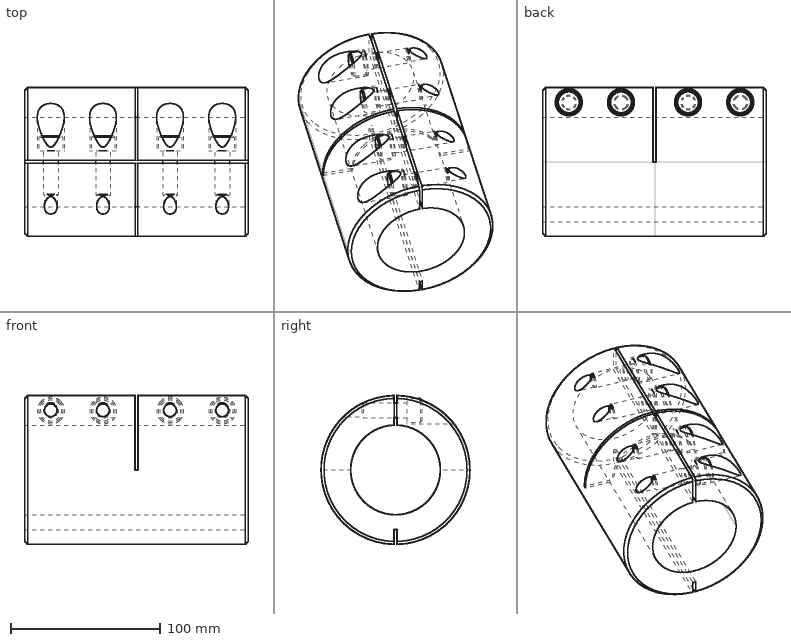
import cadquery as cq

length = 150.0
outer_diameter = 100.0
bore_diameter = 60.0
end_chamfer = 2.0

outer_radius = outer_diameter / 2
bore_radius = bore_diameter / 2

slit_width = 2.0
relief_slit_depth = 10.0

screw_height = 40.0
screw_pitch = 35.0
inner_screw_offset = 22.5
outer_screw_offset = inner_screw_offset + screw_pitch
screw_positions = [-outer_screw_offset, -inner_screw_offset, inner_screw_offset, outer_screw_offset]

shank_diameter = 10.0
shank_length = 30.0
drill_diameter = 8.5
tip_chamfer = (shank_diameter - drill_diameter) / 2
head_diameter = 16.0
head_length = shank_diameter
head_chamfer = 1.0

seat_y = 7.5
counterbore_diameter = 18.0


def cylinder_along_y(x, start_y, end_y, diameter):
    """Cylinder on a screw axis, running from start_y towards +Y up to end_y."""
    base = cq.Plane(origin=(x, start_y, screw_height), xDir=(1, 0, 0), normal=(0, 1, 0))
    return cq.Workplane(base).circle(diameter / 2).extrude(end_y - start_y)


def make_sleeve():
    """Chamfered tube before any cut."""
    sleeve = cq.Workplane("YZ").circle(outer_radius).extrude(length / 2, both=True)
    sleeve = sleeve.faces("<X or >X").chamfer(end_chamfer)
    bore = cq.Workplane("YZ").circle(bore_radius).extrude(length / 2, both=True)
    return sleeve.cut(bore)


def make_slits():
    """Full slit through the top wall, relief slit below, and half-depth cross slit at mid length."""
    upper_box = (True, True, False)
    top_slit = cq.Workplane("XY").box(length, slit_width, outer_radius, centered=upper_box)
    relief_slit = (
        cq.Workplane("XY", origin=(0, 0, -outer_radius))
        .box(length, slit_width, relief_slit_depth, centered=upper_box)
    )
    cross_slit = cq.Workplane("XY").box(
        slit_width, outer_diameter, outer_radius, centered=upper_box
    )
    return [top_slit, relief_slit, cross_slit]


def make_shank(x):
    """Screw shank with its tip tapered down to the drill diameter."""
    shank = cylinder_along_y(x, seat_y - shank_length, seat_y, shank_diameter)
    return shank.faces("<Y").chamfer(tip_chamfer)


def make_screw_hole(x):
    """Drilled through hole, close-fitting shank hole and head counterbore of one screw."""
    drill = cylinder_along_y(x, -outer_radius, seat_y, drill_diameter)
    counterbore = cylinder_along_y(x, seat_y, outer_radius, counterbore_diameter)
    return drill.union(make_shank(x)).union(counterbore)


def make_collar():
    collar = make_sleeve()
    for slit in make_slits():
        collar = collar.cut(slit)
    for x in screw_positions:
        collar = collar.cut(make_screw_hole(x))
    return collar


def make_screw(x):
    """Cap screw whose head rests on the counterbore floor."""
    head = cylinder_along_y(x, seat_y, seat_y + head_length, head_diameter)
    head = head.faces(">Y").chamfer(head_chamfer)
    return head.union(make_shank(x))


collar = make_collar()
screws = [make_screw(x) for x in screw_positions]

result = cq.Compound.makeCompound([collar.val(), *[screw.val() for screw in screws]])